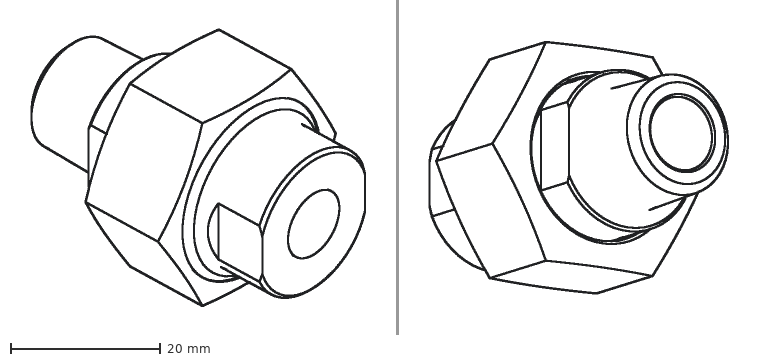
import cadquery as cq
import math

length = 45.5
collar_start = 12.95
nut_start = 18.97
nut_end = 34.0
ledge_x = 21.85
joint_x = 23.65
shoulder_x = 34.95

bore_radius = 10 / 2
barrel_radius = 22.0 / 2
thread_radius = 26.85 / 2

across_flats = 30.0
across_corners = across_flats / math.cos(math.pi / 6)
nut_face_radius = 29.5 / 2
corner_chamfer = 0.8
nut_hole_radius = 22.5 / 2
nut_mouth_chamfer = 0.45

tip_radius = 13.9 / 2
tip_chamfer = 1.2
taper_small_radius = 16.43 / 2
taper_large_radius = 17.05 / 2
root_fillet = 0.27
tail_bore_chamfer = 0.3
collar_chamfer = 0.4
flange_radius = 25.4 / 2
tail_flat_width = 19.05
tail_flat_end = 19.6
tail_flat_run_out = 0.3

shoulder_radius = 24.4 / 2
barrel_fillet = 0.8
end_chamfer = 0.55
end_flat_width = 20
end_flat_start = 37.4
end_flat_run_out = 1


def revolve_profile(sketch):
    """Revolve a closed (X, radius) outline about the X axis."""
    return sketch.close().revolve(360, (0, 0, 0), (1, 0, 0))


def flat_cutters(width, open_x, flat_end, run_out):
    """Cutters for two opposite flats, each sloping out beyond flat_end.

    run_out is the axial length of that slope per unit of its radial depth."""
    depth = barrel_radius - width / 2
    direction = math.copysign(1, flat_end - open_x)
    outline = [
        (open_x, width / 2),
        (flat_end, width / 2),
        (flat_end + direction * depth * run_out, barrel_radius),
        (open_x, barrel_radius),
    ]
    cutter = (
        cq.Workplane("XY").polyline(outline).close()
        .extrude(barrel_radius, both=True)
    )
    return cutter.union(cutter.mirror("XZ"))


def make_tail():
    fillet_start = collar_start - root_fillet
    fillet_mid = root_fillet * (1 - math.sqrt(0.5))
    body = revolve_profile(
        cq.Workplane("XY")
        .moveTo(0, bore_radius + tail_bore_chamfer)
        .lineTo(0, tip_radius)
        .lineTo(tip_chamfer, taper_small_radius)
        .lineTo(fillet_start, taper_large_radius)
        .threePointArc(
            (collar_start - fillet_mid, taper_large_radius + fillet_mid),
            (collar_start, taper_large_radius + root_fillet),
        )
        .lineTo(collar_start, barrel_radius - collar_chamfer)
        .lineTo(collar_start + collar_chamfer, barrel_radius)
        .lineTo(ledge_x, barrel_radius)
        .lineTo(ledge_x, flange_radius)
        .lineTo(joint_x, flange_radius)
        .lineTo(joint_x, bore_radius)
        .lineTo(tail_bore_chamfer, bore_radius)
    )
    return body.cut(flat_cutters(tail_flat_width, collar_start, tail_flat_end, tail_flat_run_out))


def make_nut():
    hexagon = (
        cq.Workplane("YZ", origin=(nut_start, 0, 0))
        .polygon(6, across_corners)
        .extrude(nut_end - nut_start)
    )
    corner_radius = across_corners / 2
    envelope = revolve_profile(
        cq.Workplane("XY")
        .moveTo(nut_start, 0)
        .lineTo(nut_start, nut_face_radius)
        .lineTo(nut_start + corner_chamfer, corner_radius)
        .lineTo(nut_end - corner_chamfer, corner_radius)
        .lineTo(nut_end, nut_face_radius)
        .lineTo(nut_end, 0)
    )
    stepped_hole = revolve_profile(
        cq.Workplane("XY")
        .moveTo(nut_start, 0)
        .lineTo(nut_start, nut_hole_radius + nut_mouth_chamfer)
        .lineTo(nut_start + nut_mouth_chamfer, nut_hole_radius)
        .lineTo(ledge_x, nut_hole_radius)
        .lineTo(ledge_x, thread_radius)
        .lineTo(nut_end, thread_radius)
        .lineTo(nut_end, 0)
    )
    return hexagon.intersect(envelope).cut(stepped_hole)


def make_end_piece():
    fillet_mid = barrel_fillet * (1 - math.sqrt(0.5))
    body = revolve_profile(
        cq.Workplane("XY")
        .moveTo(joint_x, bore_radius)
        .lineTo(joint_x, thread_radius)
        .lineTo(shoulder_x - (thread_radius - shoulder_radius), thread_radius)
        .lineTo(shoulder_x, shoulder_radius)
        .lineTo(shoulder_x, barrel_radius + barrel_fillet)
        .threePointArc(
            (shoulder_x + fillet_mid, barrel_radius + fillet_mid),
            (shoulder_x + barrel_fillet, barrel_radius),
        )
        .lineTo(length - end_chamfer, barrel_radius)
        .lineTo(length, barrel_radius - end_chamfer)
        .lineTo(length, bore_radius)
    )
    return body.cut(flat_cutters(end_flat_width, length, end_flat_start, end_flat_run_out))


tail = make_tail()
nut = make_nut()
end_piece = make_end_piece()

bodies = [tail, nut, end_piece]
result = cq.Compound.makeCompound([body.solids().val() for body in bodies])